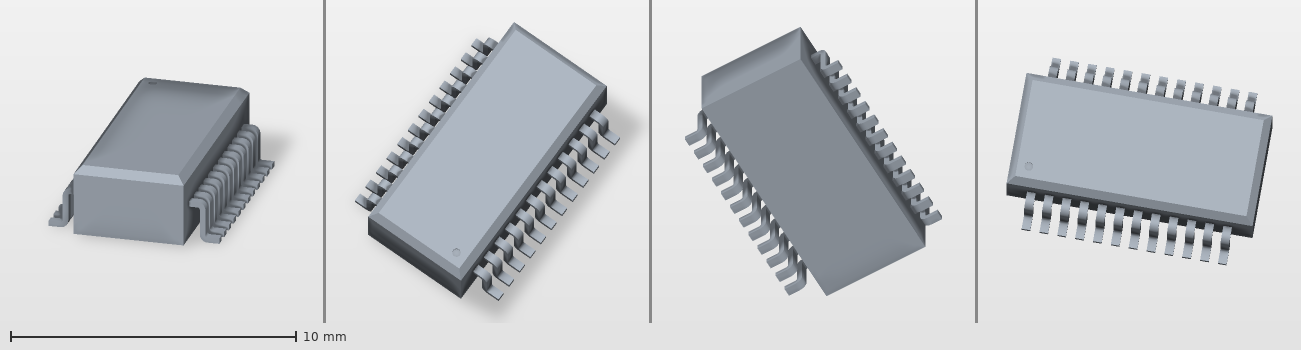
import cadquery as cq

body_width = 4.0
body_length = 8.76
standoff = 0.11
overall_height = 2.65
bevel_inset = 0.26
bevel_drop = 0.27

mark_diameter = 0.3
mark_edge_distance = 0.675
mark_depth = 0.05

lead_count = 12
row_span = 6.99
lead_pitch = row_span / (lead_count - 1)
lead_width = 0.31
lead_thickness = 0.2
lead_tip_span = 6.2
shank_inset = 0.51
lead_top = 1.5
inner_bend_radius = 0.08
outer_bend_radius = inner_bend_radius + lead_thickness


def make_body():
    """Straight-sided block topped by a bevelled cap."""
    shoulder_height = overall_height - bevel_drop
    block = (
        cq.Workplane("XY", origin=(0, 0, standoff))
        .rect(body_width, body_length)
        .extrude(shoulder_height - standoff)
    )
    cap = (
        cq.Workplane("XY", origin=(0, 0, shoulder_height))
        .rect(body_width, body_length)
        .workplane(offset=bevel_drop)
        .rect(body_width - 2 * bevel_inset, body_length - 2 * bevel_inset)
        .loft(ruled=True)
    )
    return block.union(cap)


def make_pin_one_mark():
    """Shallow disc to cut from the top face."""
    center_x = mark_edge_distance - body_width / 2
    center_y = body_length / 2 - mark_edge_distance
    return (
        cq.Workplane("XY", origin=(center_x, center_y, overall_height - mark_depth))
        .circle(mark_diameter / 2)
        .extrude(mark_depth)
    )


def make_lead():
    """Left-hand lead centred on y = 0, from its foot tip to the body wall."""
    tip_x = -lead_tip_span / 2
    wall_x = -body_width / 2
    shank_outer_x = tip_x + shank_inset
    shank_inner_x = shank_outer_x + lead_thickness
    profile = (
        cq.Workplane("XZ", origin=(0, lead_width / 2, 0))
        .moveTo(tip_x, 0)
        .lineTo(shank_inner_x - outer_bend_radius, 0)
        .radiusArc((shank_inner_x, outer_bend_radius), -outer_bend_radius)
        .lineTo(shank_inner_x, lead_top - outer_bend_radius)
        .radiusArc((shank_inner_x + inner_bend_radius, lead_top - lead_thickness), inner_bend_radius)
        .lineTo(wall_x, lead_top - lead_thickness)
        .lineTo(wall_x, lead_top)
        .lineTo(shank_outer_x + outer_bend_radius, lead_top)
        .radiusArc((shank_outer_x, lead_top - outer_bend_radius), -outer_bend_radius)
        .lineTo(shank_outer_x, lead_thickness + inner_bend_radius)
        .radiusArc((shank_outer_x - inner_bend_radius, lead_thickness), inner_bend_radius)
        .lineTo(tip_x, lead_thickness)
        .close()
    )
    return profile.extrude(lead_width)


result = make_body().cut(make_pin_one_mark())
left_lead = make_lead()
right_lead = left_lead.mirror("YZ")
for index in range(lead_count):
    lead_y = index * lead_pitch - row_span / 2
    for lead in (left_lead, right_lead):
        result = result.union(lead.translate((0, lead_y, 0)))